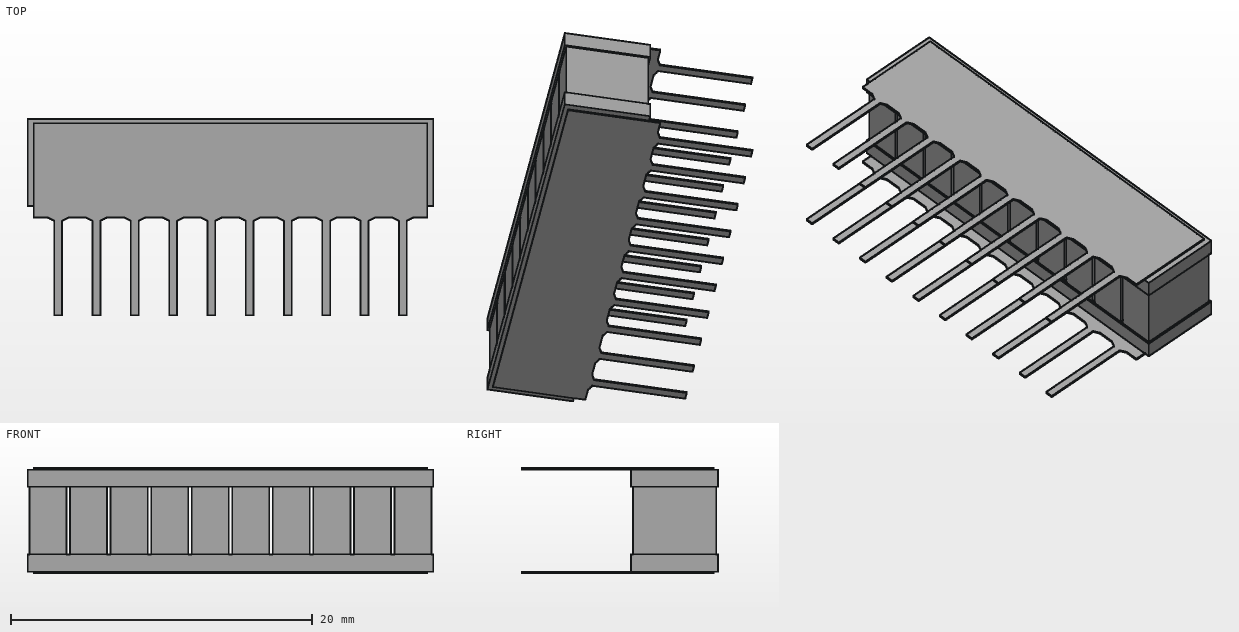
import cadquery as cq


total_length = 26.92
total_depth = 13.03
total_height = 7.0

frame_thickness = 0.1
frame_length = 26.1
frame_back_inset = 0.3
frame_front_overhang = 0.75
lead_count = 10
lead_span = 22.85
lead_width = 0.55
flare_width = 0.43
flare_length = 0.22
lead_pitch = lead_span / (lead_count - 1)

cap_depth = 5.8
cap_height = 1.15
cap_wall = 0.12
cap_top = total_height / 2 - frame_thickness
cap_inner_edge = cap_top - cap_height

chip_count = 10
slot_width = 0.22
block_length = total_length - 2 * cap_wall
block_depth = cap_depth - 2 * cap_wall
block_height = 2 * (cap_top - cap_wall)
chip_width = (block_length - (chip_count - 1) * slot_width) / chip_count
slot_pitch = chip_width + slot_width

cap_back = cap_depth / 2
frame_back = cap_back - frame_back_inset
frame_front = -cap_depth / 2 - frame_front_overhang
lead_tip = cap_back - total_depth


def row_positions(count, pitch):
    """X positions of evenly spaced items, centred on the origin."""
    return [(index - (count - 1) / 2) * pitch for index in range(count)]


def make_ceramic_block():
    """Block that fills both caps, slotted between them to mark off the chips."""
    block = cq.Workplane("XY").box(block_length, block_depth, block_height)
    slots = (
        cq.Workplane("XY")
        .pushPoints([(x, 0) for x in row_positions(chip_count - 1, slot_pitch)])
        .box(slot_width, block_depth, 2 * cap_inner_edge)
    )
    return block.cut(slots)


def make_upper_cap():
    """Cup with an even wall, open downwards, that fits over the end of the block."""
    cap = (
        cq.Workplane("XY", origin=(0, 0, cap_inner_edge))
        .rect(total_length, cap_depth)
        .extrude(cap_height)
    )
    recess = (
        cq.Workplane("XY", origin=(0, 0, cap_inner_edge))
        .rect(block_length, block_depth)
        .extrude(cap_height - cap_wall)
    )
    return cap.cut(recess)


def make_upper_lead_frame():
    """Flat plate with a row of leads, each with a flared root."""
    half_length = frame_length / 2
    half_lead = lead_width / 2
    half_root = half_lead + flare_width
    flare_end = frame_front - flare_length

    outline = [(-half_length, frame_back), (-half_length, frame_front)]
    for x in row_positions(lead_count, lead_pitch):
        outline += [
            (x - half_root, frame_front),
            (x - half_lead, flare_end),
            (x - half_lead, lead_tip),
            (x + half_lead, lead_tip),
            (x + half_lead, flare_end),
            (x + half_root, frame_front),
        ]
    outline += [(half_length, frame_front), (half_length, frame_back)]

    return (
        cq.Workplane("XY", origin=(0, 0, cap_top))
        .polyline(outline)
        .close()
        .extrude(frame_thickness)
    )


def upper_and_lower(upper_body):
    """The upper body and its mirror image on the underside, as separate bodies."""
    return [upper_body, upper_body.mirror("XY")]


ceramic_block = make_ceramic_block()
end_caps = upper_and_lower(make_upper_cap())
lead_frames = upper_and_lower(make_upper_lead_frame())

result = cq.Compound.makeCompound([
    ceramic_block.val(),
    *[cap.val() for cap in end_caps],
    *[frame.val() for frame in lead_frames],
])